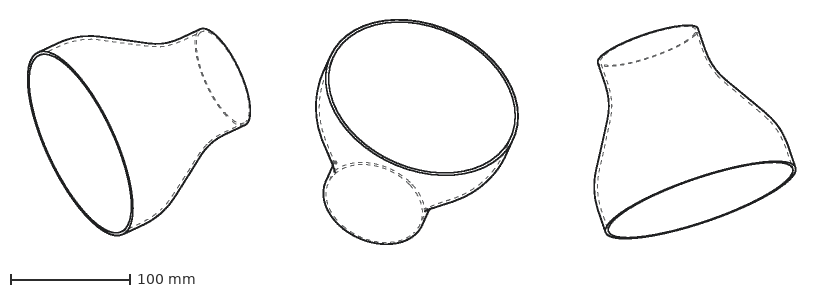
import cadquery as cq
import math

wide_outer_diameter = 168.3
wide_inner_diameter = 163.0
narrow_outer_diameter = 88.9
narrow_inner_diameter = 84.3
total_length = 140.0
collar_length = 20.0
outer_bend_radius = 60.0

wide_wall = (wide_outer_diameter - wide_inner_diameter) / 2
narrow_wall = (narrow_outer_diameter - narrow_inner_diameter) / 2


def solid_of_revolution(wide_radius, narrow_radius, wide_bend, narrow_bend):
    """Two cylindrical collars joined by a cone with a tangent bend at each end."""
    wide_bend_y = collar_length
    narrow_bend_y = total_length - collar_length
    wide_center_x = wide_radius - wide_bend
    narrow_center_x = narrow_radius + narrow_bend

    center_dx = narrow_center_x - wide_center_x
    center_dy = narrow_bend_y - wide_bend_y
    center_distance = math.hypot(center_dx, center_dy)
    cone_angle = math.asin((wide_bend + narrow_bend) / center_distance) - math.atan2(center_dx, center_dy)

    def on_wide_bend(angle):
        return (wide_center_x + wide_bend * math.cos(angle), wide_bend_y + wide_bend * math.sin(angle))

    def on_narrow_bend(angle):
        return (narrow_center_x - narrow_bend * math.cos(angle), narrow_bend_y - narrow_bend * math.sin(angle))

    return (
        cq.Workplane("XY")
        .lineTo(wide_radius, 0)
        .lineTo(wide_radius, wide_bend_y)
        .threePointArc(on_wide_bend(cone_angle / 2), on_wide_bend(cone_angle))
        .lineTo(*on_narrow_bend(cone_angle))
        .threePointArc(on_narrow_bend(cone_angle / 2), (narrow_radius, narrow_bend_y))
        .lineTo(narrow_radius, total_length)
        .lineTo(0, total_length)
        .close()
        .revolve(360, (0, 0, 0), (0, 1, 0))
    )


body = solid_of_revolution(
    wide_outer_diameter / 2, narrow_outer_diameter / 2, outer_bend_radius, outer_bend_radius
)

bore = solid_of_revolution(
    wide_inner_diameter / 2,
    narrow_inner_diameter / 2,
    outer_bend_radius - wide_wall,
    outer_bend_radius + narrow_wall,
)

result = body.cut(bore)